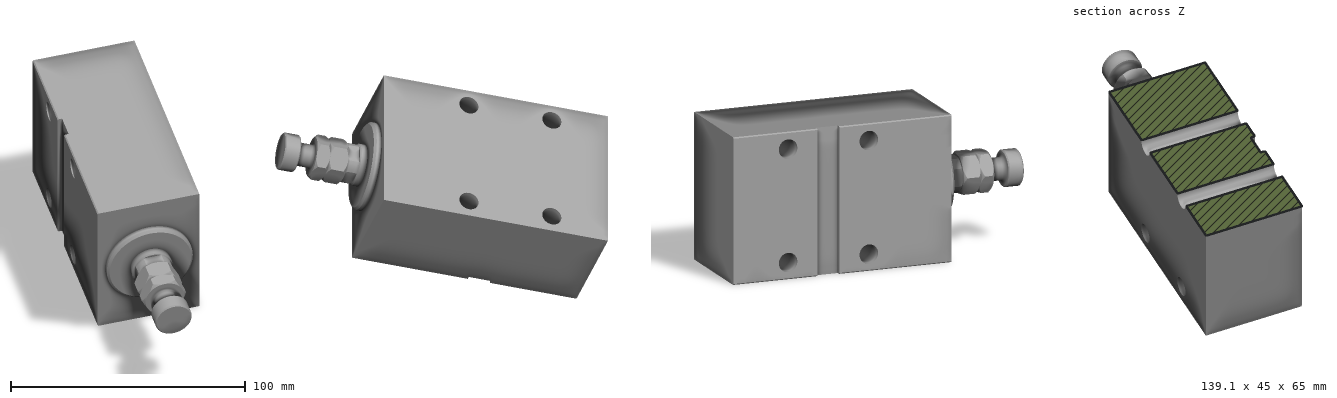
import cadquery as cq
import math

BLOCK_LENGTH = 100.0
BLOCK_DEPTH = 45.0
BLOCK_HEIGHT = 65.0
BLOCK_CHAMFER = 0.5

SLOT_WIDTH = 10.0
SLOT_DEPTH = 2.0

HOLE_DIAMETER = 8.5
HOLE_END_DISTANCE = 25.0
HOLE_SPACING_X = 37.0
HOLE_SPACING_Z = 50.0

BOSS_LENGTH = 3.0
COLLAR_LENGTH = 3.2
FLATS_LENGTH = 4.9
NUT_LENGTH = 8.0
PIN_HEX_LENGTH = 6.0
PIN_NECK_LENGTH = 7.0
PIN_HEAD_LENGTH = 7.0

BOSS_DIAMETER = 38.1
BOSS_CHAMFER = 1.0

ROD_DIAMETER = 18.1
ROD_CHAMFER = 0.5
ROD_FLATS_WIDTH = 15.0

HEX_ACROSS_FLATS = 17.0
STUD_DIAMETER = 10.0

PIN_NECK_DIAMETER = 10.0
PIN_HEAD_DIAMETER = 16.1
PIN_HEAD_CHAMFER = 0.5
PIN_HEX_FILLET = 0.7
PIN_HEAD_FILLET = 1.3

BOSS_X = BLOCK_LENGTH
COLLAR_X = BOSS_X + BOSS_LENGTH
FLATS_X = COLLAR_X + COLLAR_LENGTH
NUT_X = FLATS_X + FLATS_LENGTH
PIN_HEX_X = NUT_X + NUT_LENGTH
PIN_NECK_X = PIN_HEX_X + PIN_HEX_LENGTH
PIN_HEAD_X = PIN_NECK_X + PIN_NECK_LENGTH

HOLE_MID_X = HOLE_END_DISTANCE + HOLE_SPACING_X / 2


def cylinder(start_x, length, diameter):
    """Round bar on the rod axis."""
    return cq.Workplane("YZ", origin=(start_x, 0, 0)).circle(diameter / 2).extrude(length)


def chamfered_hexagon(start_x, length):
    """Hexagon with two flats facing +Z and -Z, its corners turned down at 45 degrees at both ends."""
    corner_diameter = HEX_ACROSS_FLATS / math.cos(math.pi / 6)
    corner_drop = (corner_diameter - HEX_ACROSS_FLATS) / 2
    hexagon = cq.Workplane("YZ", origin=(start_x, 0, 0)).polygon(6, corner_diameter).extrude(length)
    turned = cylinder(start_x, length, corner_diameter).faces("<X or >X").chamfer(corner_drop)
    return hexagon.intersect(turned)


def make_housing():
    """Slotted block with a round boss that guides the rod."""
    block = cq.Workplane("XY").box(BLOCK_LENGTH, BLOCK_DEPTH, BLOCK_HEIGHT).translate((BLOCK_LENGTH / 2, 0, 0))
    block = block.faces("<Y").edges("|X").chamfer(BLOCK_CHAMFER)

    slot = cq.Workplane("XY").box(SLOT_WIDTH, 2 * SLOT_DEPTH, BLOCK_HEIGHT)
    block = block.cut(slot.translate((HOLE_MID_X, -BLOCK_DEPTH / 2, 0)))

    holes = (
        cq.Workplane("XZ", origin=(HOLE_MID_X, BLOCK_DEPTH / 2, 0))
        .rarray(HOLE_SPACING_X, HOLE_SPACING_Z, 2, 2)
        .circle(HOLE_DIAMETER / 2)
        .extrude(BLOCK_DEPTH)
    )
    block = block.cut(holes)

    boss = cylinder(BOSS_X, BOSS_LENGTH, BOSS_DIAMETER).faces(">X").chamfer(BOSS_CHAMFER)
    rod_bore = cylinder(BOSS_X, BOSS_LENGTH, ROD_DIAMETER)
    return block.union(boss).cut(rod_bore)


def make_rod():
    """Round rod seated through the boss, with four wrench flats at its free end."""
    shank = cylinder(BOSS_X, BOSS_LENGTH + COLLAR_LENGTH, ROD_DIAMETER).faces(">X").chamfer(ROD_CHAMFER)
    end = cylinder(FLATS_X, FLATS_LENGTH, ROD_DIAMETER - 2 * ROD_CHAMFER).faces(">X").chamfer(ROD_CHAMFER)
    square = (
        cq.Workplane("YZ", origin=(FLATS_X, 0, 0))
        .rect(ROD_FLATS_WIDTH, ROD_FLATS_WIDTH)
        .extrude(FLATS_LENGTH)
    )
    return shank.union(end.intersect(square))


def make_nut():
    return chamfered_hexagon(NUT_X, NUT_LENGTH).cut(cylinder(NUT_X, NUT_LENGTH, STUD_DIAMETER))


def make_pin_bar():
    """Turned neck and head of the pin, with concave fillets at both ends of the neck."""
    neck_radius = PIN_NECK_DIAMETER / 2
    head_radius = PIN_HEAD_DIAMETER / 2
    end_x = PIN_HEAD_X + PIN_HEAD_LENGTH
    profile = (
        cq.Workplane("XY")
        .moveTo(PIN_NECK_X, 0)
        .lineTo(PIN_NECK_X, neck_radius + PIN_HEX_FILLET)
        .radiusArc((PIN_NECK_X + PIN_HEX_FILLET, neck_radius), -PIN_HEX_FILLET)
        .lineTo(PIN_HEAD_X - PIN_HEAD_FILLET, neck_radius)
        .radiusArc((PIN_HEAD_X, neck_radius + PIN_HEAD_FILLET), -PIN_HEAD_FILLET)
        .lineTo(PIN_HEAD_X, head_radius - PIN_HEAD_CHAMFER)
        .lineTo(PIN_HEAD_X + PIN_HEAD_CHAMFER, head_radius)
        .lineTo(end_x - PIN_HEAD_CHAMFER, head_radius)
        .lineTo(end_x, head_radius - PIN_HEAD_CHAMFER)
        .lineTo(end_x, 0)
        .close()
    )
    return profile.revolve(360, (0, 0, 0), (1, 0, 0))


def make_pin():
    """Coupling pin: stud inside the nut, hexagon, neck and round head."""
    stud = cylinder(NUT_X, NUT_LENGTH, STUD_DIAMETER)
    hexagon = chamfered_hexagon(PIN_HEX_X, PIN_HEX_LENGTH)
    return hexagon.union(make_pin_bar()).union(stud)


housing = make_housing()
rod = make_rod()
nut = make_nut()
pin = make_pin()

result = cq.Compound.makeCompound([housing.val(), rod.val(), nut.val(), pin.val()])